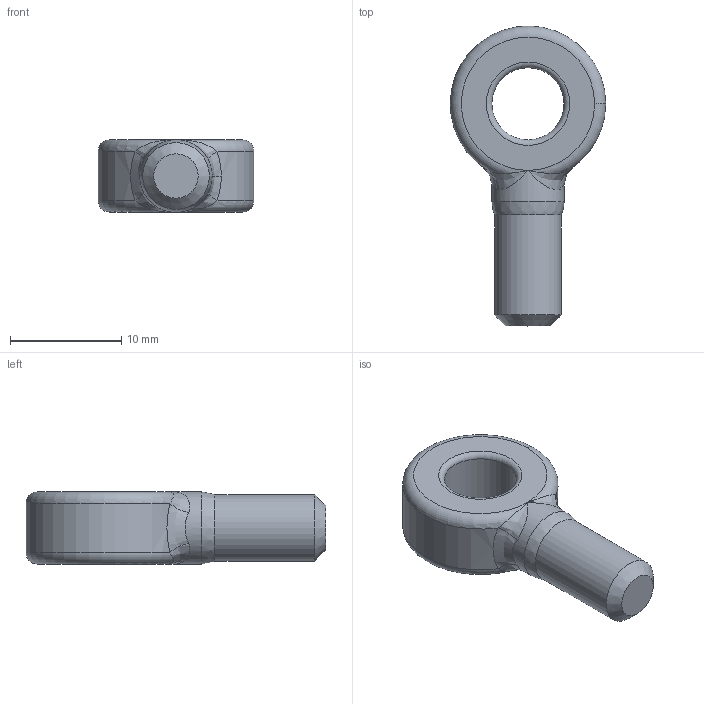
import cadquery as cq
import math

ring_diameter = 14.0
ring_height = 6.5
ring_edge_radius = 1.0
bore_diameter = 6.5
bore_edge_radius = 0.5

shank_diameter = 6.0
shank_end = 20.0
tip_chamfer = 1.0

neck_diameter = ring_height
neck_end = 10.0
shoulder_radius = 3.0
root_fillet_radius = 2.0

ring_radius = ring_diameter / 2
shank_radius = shank_diameter / 2
neck_radius = neck_diameter / 2
neck_start = ring_radius - ring_edge_radius


def make_ring():
    """Bored ring with rounded outer edges and rounded bore rims."""
    ring = (
        cq.Workplane("XY", origin=(0, 0, -ring_height / 2))
        .circle(ring_radius)
        .circle(bore_diameter / 2)
        .extrude(ring_height)
    )
    ring = ring.edges(cq.selectors.RadiusNthSelector(0)).fillet(bore_edge_radius)
    return ring.edges(cq.selectors.RadiusNthSelector(-1)).fillet(ring_edge_radius)


def make_stem():
    """Neck and shank, turned about the Y axis from a half profile."""
    step = neck_radius - shank_radius
    shoulder_length = math.sqrt(shoulder_radius**2 - (shoulder_radius - step) ** 2)
    shoulder_start = neck_end - shoulder_length
    return (
        cq.Workplane("XY")
        .moveTo(0, -neck_start)
        .lineTo(neck_radius, -neck_start)
        .lineTo(neck_radius, -shoulder_start)
        .tangentArcPoint((shank_radius, -neck_end), relative=False)
        .lineTo(shank_radius, -(shank_end - tip_chamfer))
        .lineTo(shank_radius - tip_chamfer, -shank_end)
        .lineTo(0, -shank_end)
        .close()
        .revolve(360, (0, 0, 0), (0, 1, 0))
    )


def blend_root(body):
    """Fillet the curves where the neck meets the ring, the only spline edges of the body."""
    return body.edges("%BSPLINE").fillet(root_fillet_radius)


result = blend_root(make_ring().union(make_stem()))